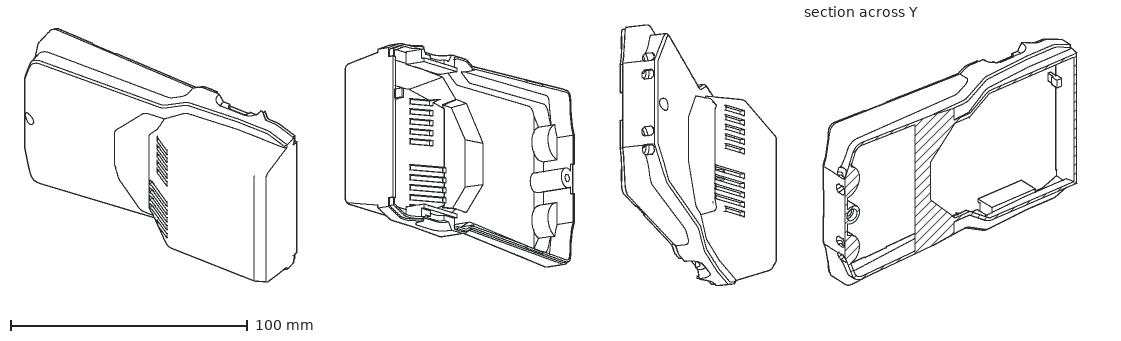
import cadquery as cq
length = 127.5
half_width = 38.0
front_depth = 31.4
wall = 1.7
lip_inset = 0.8
beyond = 12.8

rim_y = -1.8
dip_y = -6.1
end_wall_y = -3.7
tray_deep_y = -19.9
tray_flat_y = -12.4
tray_nose_x = 5.1
tray_nose_y = -16.8
tray_flat_x = 103.3
tray_outline = [(0, 19.1), (5.6, 34.0), (67.6, 31.7), (79.0, half_width), (118.6, half_width), (length, 34.4)]

grip_outline = [(0.5, 17.8), (4.0, 38.1), (75.9, 35.7)]
grip_start_y = -12.6
grip_end_y = -8.0
grip_round = 1.7
grip_corner_round = 3.8
tray_corner_round = 5.7

hump_outline = [(63.1, 22.7), (78.7, 33.4), (length + beyond, 33.4)]
hump_base_y = -10.2
hump_draft = 11.0
slope_start_x = 66.5
slope_end_x = 80.5
end_bevel = (4.2, 2.7)
shoulder_y = -22.2
shoulder_base_y = -12.8
shoulder_base = [(41.0, 8.7), (58.5, 25.9), (70.1, 25.9)]
shoulder_top = [(50.2, 10.8), (61.2, 24.0), (70.1, 24.0)]
shoulder_round = 1.8
shoulder_corner_round = 4.1
tray_chamfer = 0.9
front_facing = -0.5
hump_round = 2.2
bend_round = 5.9

lip_notch_half = 6.4
lip_step = 0.45
low_lip_spans = [(-beyond, 3.8), (24.0, 35.7), (85.8, length)]
lip_dip_y = -4.1
ramp_start_x = 109.4
ramp_round = 3.2

slots_per_side = 5
slot_width = 2.3
slot_end_x = 79.8
short_slot_x = 71.3
long_slot_x = 65.9
slot_pitch = 4.3
first_slot_z = 5.6

screw_x = 4.1
screw_diameter = 3.0
bore_diameter = 5.2
bore_floor_y = -13.4
boss_diameter = bore_diameter + 2 * wall
strap_x = 0.5
strap_z = 17.0
strap_y = -13.0
strap_radius = 4.1
strap_section = (4.1, 5.1)
strap_chamfer = 1.0
recess_x = 98.2
recess_length = 20.8
recess_y = -8.0
recess_depth = 3.2
recess_bevel = 2.2
recess_round = 5.1
port_length = 10.0
port_y = -4.5
port_round = 2.0
pocket_plane_z = 32.5
pocket_x = (85.8, 109.6)
pocket_base_y = -9.7
strip_half_width = 30.6
tab_x = (124.0, 125.5)
tab_step = 0.8
tab_base_y = -7.6
tab_top_y = -0.6
tab_z = (12.8, 16.6)


def both_sides(upper):
    """Close an outline given by its upper half, mirrored about Z = 0."""
    return upper + [(x, -z) for x, z in reversed(upper)]


def plan_wire(points, inset, y=0.0):
    """Closed XZ outline at height y, drawn in by the inset; it extrudes toward the front."""
    plan = cq.Workplane("XZ", origin=(0, y, 0)).polyline(points).close()
    return plan.offset2D(-inset, "intersection") if inset else plan


def side_slab(points, inset=0.0):
    """Slab across the whole width whose XY outline is the given polygon."""
    outline = cq.Workplane("XY").polyline(points).close()
    if inset:
        outline = outline.offset2D(-inset, "intersection")
    return outline.extrude(half_width + beyond, both=True)


def block(x_span, y_span, z_span):
    """Box between three pairs of coordinates."""
    spans = [x_span, y_span, z_span]
    sizes = [high - low for low, high in spans]
    return cq.Workplane("XY", origin=[low for low, high in spans]).box(*sizes, centered=False)


def front_rim(body):
    """Edges that bound the front-facing faces, without the creases between those faces."""
    uses = {}
    for face in body.faces().vals():
        if face.normalAt().y < front_facing:
            for edge in face.Edges():
                uses.setdefault(edge.hashCode(), []).append(edge)
    return [edges[0] for edges in uses.values() if len(edges) == 1]


def round_bend(body, x, y, radius):
    """Round the crosswise edge nearest to (x, y)."""
    bend = body.edges("|Z").edges(cq.selectors.NearestToPointSelector((x, y, 0)))
    return bend.fillet(radius)


def round_corners(body, radius, inset):
    """Round the plan corners so that inset bodies stay parallel to the outer one."""
    return body.edges("|Y").edges("not(<X or >X)").fillet(radius - inset)


def tray(inset=0.0):
    body = plan_wire(both_sides(tray_outline), inset).extrude(front_depth)
    body = round_corners(body, tray_corner_round, inset)
    profile = side_slab(
        [
            (0, beyond),
            (0, tray_nose_y),
            (tray_nose_x, tray_deep_y),
            (tray_flat_x, tray_flat_y),
            (length, tray_flat_y),
            (length, beyond),
        ],
        inset,
    )
    return body.intersect(profile)


def grips(inset=0.0):
    body = plan_wire(both_sides(grip_outline), inset).extrude(front_depth)
    body = round_corners(body, grip_corner_round, inset)
    profile = side_slab(
        [(0, beyond), (0, grip_start_y), (grip_outline[-1][0], grip_end_y), (grip_outline[-1][0], beyond)],
        inset,
    )
    return body.intersect(profile)


def hump(inset=0.0):
    body = plan_wire(both_sides(hump_outline), inset, hump_base_y)
    body = body.extrude(front_depth + hump_base_y + beyond, taper=hump_draft)
    bevel_x, bevel_y = end_bevel
    profile = side_slab(
        [
            (slope_start_x - beyond, beyond),
            (slope_start_x - beyond, shoulder_y),
            (slope_start_x, shoulder_y),
            (slope_end_x, -front_depth),
            (length - bevel_x, -front_depth),
            (length, bevel_y - front_depth),
            (length, beyond),
        ],
        inset,
    )
    profile = round_bend(profile, slope_start_x, shoulder_y, bend_round)
    profile = round_bend(profile, slope_end_x, -front_depth, bend_round)
    return body.intersect(profile)


def shoulder(inset=0.0):
    base = plan_wire(both_sides(shoulder_base), inset, shoulder_base_y + inset)
    top = plan_wire(both_sides(shoulder_top), inset, shoulder_y + inset)
    return cq.Workplane(cq.Solid.makeLoft([base.wires().val(), top.wires().val()], True))


def outer_form():
    """Solid outside shape with its rounded and chamfered edges."""
    tray_body = round_bend(tray(), tray_nose_x, tray_deep_y, bend_round)
    tray_body = tray_body.newObject(front_rim(tray_body)).chamfer(tray_chamfer)

    grip_body = grips().faces("<Y").edges().fillet(grip_round)

    hump_body = hump()
    side_corners = hump_body.edges(cq.selectors.BoxSelector((77.8, -23, -38.2), (slope_end_x, -12.8, 38.2)))
    hump_body = side_corners.fillet(bend_round)
    sides = [edge for edge in front_rim(hump_body) if slope_start_x < edge.Center().x < length - wall]
    hump_body = hump_body.newObject(sides).fillet(hump_round)

    shoulder_body = shoulder()
    shoulder_corners = shoulder_body.edges(
        cq.selectors.BoxSelector((shoulder_base[0][0], -17.8, -38.2), (shoulder_top[1][0], -16.6, 38.2))
    )
    shoulder_body = shoulder_corners.fillet(shoulder_corner_round)
    visible_end = shoulder_top[-1][0] - wall
    shoulder_edges = shoulder_body.edges(
        cq.selectors.BoxSelector((shoulder_base[0][0], -25.5, -38.2), (visible_end, shoulder_base_y - wall, 38.2))
    )
    shoulder_body = shoulder_edges.fillet(shoulder_round)
    return tray_body.union(grip_body).union(hump_body).union(shoulder_body)


def cavity():
    """Hollow inside, one wall thickness within every outer face and open at the back."""
    return tray(wall).union(grips(wall)).union(hump(wall)).union(shoulder(wall))


def rim_trim(high_y, low_y, ramp_x):
    """Everything in front of the back edge, which ramps down at 45 degrees near the +X end."""
    ramp_end = ramp_x + high_y - low_y
    slab = side_slab(
        [
            (-beyond, -front_depth - beyond),
            (-beyond, high_y),
            (ramp_x, high_y),
            (ramp_end, low_y),
            (length + beyond, low_y),
            (length + beyond, -front_depth - beyond),
        ]
    )
    return round_bend(slab, ramp_end, low_y, ramp_round)


def back_lip():
    """Thin tongue standing up inside the rim, with its low spans and the gap at the -X end."""
    lip = tray(lip_inset).union(grips(lip_inset)).intersect(rim_trim(0.0, lip_dip_y, ramp_start_x))
    for span in low_lip_spans:
        lip = lip.cut(block(span, (-lip_step, beyond), (-half_width, half_width)))
    gap = block((-beyond, grip_outline[1][0]), (rim_y, beyond), (-lip_notch_half, lip_notch_half))
    return lip.cut(gap)


def strap_block(z):
    """Round pad of solid material inside the shell around a strap tunnel."""
    radius = strap_radius + strap_section[0] / 2 + wall
    height = strap_section[1] + 2 * wall
    pad = cq.Workplane("XZ", origin=(0, strap_y + height / 2, 0)).center(strap_x, z)
    return pad.circle(radius).extrude(height)


def strap_tunnel(z):
    """Ring-shaped tunnel that enters the end face and leaves through the slanted corner."""
    width, height = strap_section
    section = cq.Workplane("XY").rect(width, height).extrude(1.3).edges("|Z").chamfer(strap_chamfer)
    wire = section.faces("<Z").wires().val().moved(cq.Location(cq.Vector(strap_x + strap_radius, strap_y, z)))
    axis_start = cq.Vector(strap_x, 0, z)
    axis_end = cq.Vector(strap_x, 1.3, z)
    return cq.Workplane(cq.Solid.revolve(wire, [], 360, axis_start, axis_end))


def screw_boss():
    boss = cq.Workplane("XZ", origin=(0, rim_y, 0)).center(screw_x, 0)
    return boss.circle(boss_diameter / 2).extrude(front_depth)


def screw_hole():
    hole = cq.Workplane("XZ", origin=(0, beyond, 0)).center(screw_x, 0)
    hole = hole.circle(screw_diameter / 2).extrude(front_depth + beyond)
    bore = cq.Workplane("XZ", origin=(0, bore_floor_y, 0)).center(screw_x, 0)
    return hole.union(bore.circle(bore_diameter / 2).extrude(front_depth))


def vent_slots():
    slots = cq.Workplane("XY")
    for side, long_count in [(1, 0), (-1, 4)]:
        for i in range(slots_per_side):
            start_x = long_slot_x if i < long_count else short_slot_x
            middle_z = side * (first_slot_z + slot_pitch * i)
            z_span = (middle_z - slot_width / 2, middle_z + slot_width / 2)
            slots = slots.add(block((start_x, slot_end_x), (-front_depth - beyond, beyond), z_span))
    return slots.combine()


def recess_outline(width, floor_y, radius, z):
    """U-shaped outline on the flank, open toward the back, with rounded bottom corners."""
    outline = cq.Workplane("XY", origin=(recess_x, 0, z)).moveTo(-width / 2, beyond)
    outline = outline.lineTo(-width / 2, floor_y + radius)
    outline = outline.radiusArc((-width / 2 + radius, floor_y), -radius)
    outline = outline.lineTo(width / 2 - radius, floor_y)
    outline = outline.radiusArc((width / 2, floor_y + radius), -radius)
    return outline.lineTo(width / 2, beyond).close()


def finger_recess():
    """Bevelled recess in the +Z flank with a smaller port cut to the set-back lip inside it."""
    mouth = recess_outline(recess_length, recess_y, recess_round, half_width)
    floor = recess_outline(
        recess_length - 2 * recess_bevel,
        recess_y + recess_bevel,
        recess_round - recess_bevel,
        half_width - recess_depth,
    )
    recess = cq.Workplane(cq.Solid.makeLoft([floor.wires().val(), mouth.wires().val()], True))
    port = recess_outline(port_length, port_y, port_round, pocket_plane_z).extrude(half_width - pocket_plane_z)
    return recess.union(port)


def recess_wall():
    """Thick wall behind the finger recess; its lip is set back from the flank."""
    lip_z = (pocket_plane_z - wall, pocket_plane_z)
    backing = block(pocket_x, (pocket_base_y, rim_y), (lip_z[0], half_width - wall / 2))
    return backing.union(block(pocket_x, (pocket_base_y, -lip_step), lip_z))


def latch_tab():
    """Upright tab on a small ledge inside the +X end wall."""
    ledge = block((tab_x[0] - tab_step, length - lip_inset), (tab_base_y, lip_dip_y), tab_z)
    return ledge.union(block(tab_x, (tab_base_y, tab_top_y), tab_z))


form = outer_form()
end_strip = block((length - wall, length), (-front_depth, end_wall_y), (-strip_half_width, strip_half_width))
shell_zone = rim_trim(rim_y, dip_y, ramp_start_x).union(end_strip)
body = form.intersect(shell_zone)
body = body.union(back_lip()).cut(cavity())
body = body.union(latch_tab())

inner_parts = screw_boss()
for z in (strap_z, -strap_z):
    inner_parts = inner_parts.union(strap_block(z))
body = body.union(inner_parts.intersect(form))

flank_wall = recess_wall()
flank_recess = finger_recess()
set_back = block(pocket_x, (rim_y, beyond), (pocket_plane_z, half_width))
body = body.cut(set_back).cut(set_back.mirror("XY"))
body = body.union(flank_wall).union(flank_wall.mirror("XY"))
body = body.cut(flank_recess).cut(flank_recess.mirror("XY"))

for z in (strap_z, -strap_z):
    body = body.cut(strap_tunnel(z))
result = body.cut(screw_hole()).cut(vent_slots())